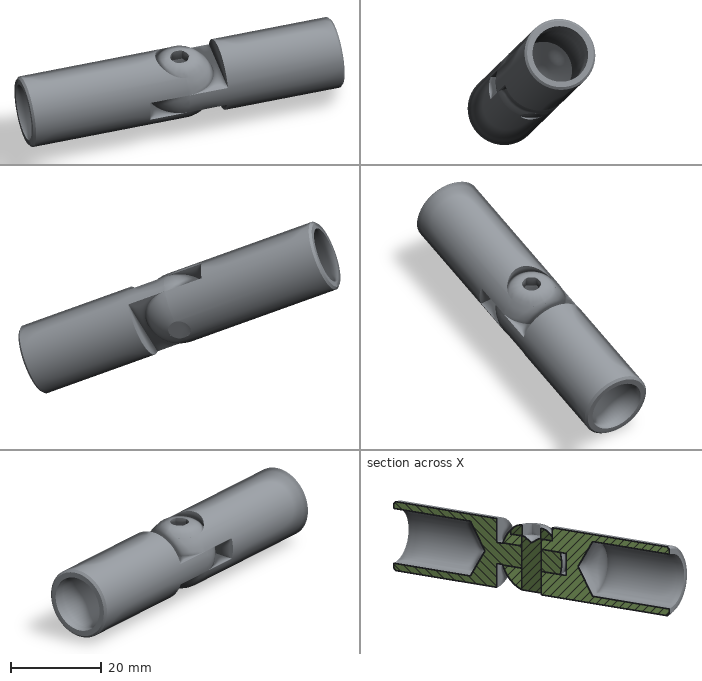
import cadquery as cq
import math

length = 72
half_length = length / 2
rod_radius = 8.0
end_chamfer = 0.5
bore_radius = 6.3
bore_depth = 20.0
drill_half_angle = math.radians(59)

tongue_thickness = 5.0
shoulder_distance = 9.0

shank_radius = 2.5
head_radius = 5.4
seat_height = 5.0
head_top = 7.5
head_flat_radius = 2.1
dome_mid_radius = 4.2
dome_mid_height = 7.0
head_rim = math.sqrt(rod_radius**2 - head_radius**2)
shank_end = -math.sqrt(rod_radius**2 - shank_radius**2)
socket_width = 4.0
socket_depth = 2.5


def plain_rod():
    """Rod along -Y, flat at the hinge axis, with a drilled and chamfered outer end."""
    chamfer_radius = rod_radius - end_chamfer
    chamfer_start = -half_length + end_chamfer
    bore_end = -half_length + bore_depth
    bore_tip = bore_end + bore_radius / math.tan(drill_half_angle)
    return (
        cq.Workplane("XY")
        .polyline([
            (bore_radius, -half_length),
            (chamfer_radius, -half_length),
            (rod_radius, chamfer_start),
            (rod_radius, 0),
            (0, 0),
            (0, bore_tip),
            (bore_radius, bore_end),
        ])
        .close()
        .revolve(360, (0, 0, 0), (0, 1, 0))
    )


def ball_end():
    """Hemisphere that rounds the hinge end of the rod."""
    front_half = cq.Workplane("XY").box(length, length, length, centered=(True, False, True))
    return cq.Workplane("XY").sphere(rod_radius).intersect(front_half)


def cut_rod(*cutters):
    """Ball-ended rod less the cutters; rod and ball are cut apart, then joined where they are tangent."""
    rod = plain_rod()
    ball = ball_end()
    for cutter in cutters:
        rod = rod.cut(cutter)
        ball = ball.cut(cutter)
    return rod.union(ball)


def hinge_layer():
    """Flat slab holding the tongue, open past the ball ends and closed at the slot floor."""
    return (
        cq.Workplane("XY")
        .box(2 * length, length, tongue_thickness, centered=(True, False, True))
        .translate((0, -shoulder_distance, 0))
    )


def shank_hole():
    return cq.Workplane("XY").circle(shank_radius).extrude(half_length, both=True)


def make_fork():
    head_recess = (
        cq.Workplane("XY")
        .workplane(offset=seat_height)
        .circle(head_radius)
        .extrude(rod_radius)
    )
    return cut_rod(hinge_layer(), shank_hole(), head_recess)


def make_tongue():
    ears_space = (
        cq.Workplane("XY")
        .box(2 * length, length, length, centered=(True, False, True))
        .translate((0, -shoulder_distance, 0))
        .cut(hinge_layer())
    )
    return cut_rod(ears_space, shank_hole()).rotate((0, 0, 0), (0, 0, 1), 180)


def hex_socket():
    """Hexagonal recess with a conical floor and two corners on the Y axis."""
    floor = head_top - socket_depth
    flat_radius = socket_width / 2
    cone_depth = flat_radius / math.tan(drill_half_angle)
    hexagon = (
        cq.Workplane("XY")
        .workplane(offset=floor)
        .polygon(6, socket_width / math.cos(math.pi / 6))
        .extrude(socket_depth)
        .rotate((0, 0, 0), (0, 0, 1), 90)
    )
    cone = (
        cq.Workplane("XZ")
        .polyline([(0, floor - cone_depth), (flat_radius, floor), (0, floor)])
        .close()
        .revolve(360, (0, 0, 0), (0, 1, 0))
    )
    return hexagon.union(cone)


def make_screw():
    blank = (
        cq.Workplane("XZ")
        .moveTo(0, shank_end)
        .lineTo(shank_radius, shank_end)
        .lineTo(shank_radius, seat_height)
        .lineTo(head_radius, seat_height)
        .lineTo(head_radius, head_rim)
        .threePointArc((dome_mid_radius, dome_mid_height), (head_flat_radius, head_top))
        .lineTo(0, head_top)
        .close()
        .revolve(360, (0, 0, 0), (0, 1, 0))
    )
    return blank.cut(hex_socket())


fork = make_fork()
tongue = make_tongue()
screw = make_screw()
result = cq.Compound.makeCompound([fork.val(), tongue.val(), screw.val()])